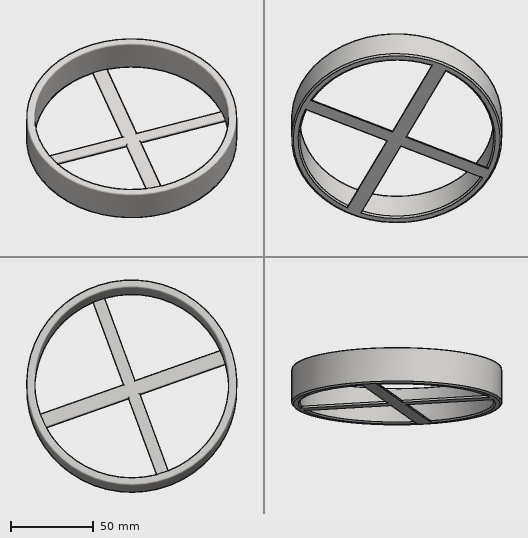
import cadquery as cq

outer_diameter = 128.0
inner_diameter = 118.0
ring_height = 22.0
rim_fillet = 1.0
foot_chamfer = 1.0

bar_thickness = 1.4
bar_fillet = 0.8
x_bar_flat_width = 7.7
y_bar_flat_width = 6.0
bar_length = (outer_diameter + inner_diameter) / 2


def make_ring():
    """Plain ring with rounded upper rims and chamfered lower rims."""
    ring = (
        cq.Workplane("XY")
        .circle(outer_diameter / 2)
        .circle(inner_diameter / 2)
        .extrude(ring_height)
    )
    ring = ring.faces(">Z").edges().fillet(rim_fillet)
    return ring.faces("<Z").edges().chamfer(foot_chamfer)


def make_bar(flat_width):
    """Bar along X with both long top edges rounded beside the flat."""
    full_width = flat_width + 2 * bar_fillet
    bar = cq.Workplane("XY").rect(bar_length, full_width).extrude(bar_thickness)
    return bar.faces(">Z").edges("|X").fillet(bar_fillet)


x_bar = make_bar(x_bar_flat_width)
y_bar = make_bar(y_bar_flat_width).rotate((0, 0, 0), (0, 0, 1), 90)

result = make_ring().union(x_bar).union(y_bar)